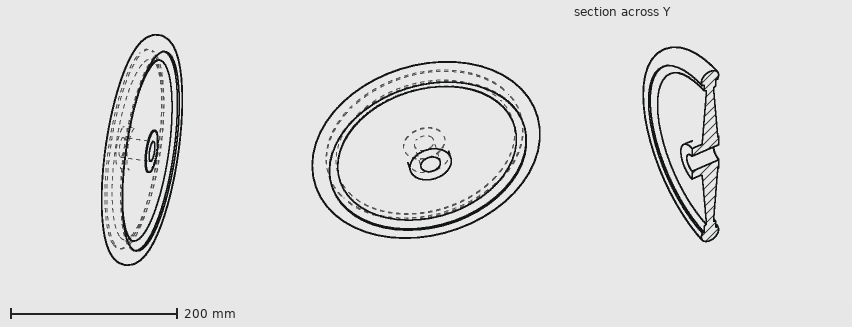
import cadquery as cq
import math

wheel_radius = 140.0
wheel_width = 38.0

rim_section_radius = 12.5
rim_centre_radius = wheel_radius - rim_section_radius
rim_centre_x = wheel_width - rim_section_radius

hub_radius = 51.0 / 2
bore_radius = 24.0 / 2
hub_root_fillet = 1.5

ring_outer_radius = 121.2
ring_inner_radius = 113.5
ring_x = 16.8
ring_edge_round = 3.4
web_outer_radius = ring_inner_radius - ring_edge_round
web_outer_x = ring_x + ring_edge_round
web_hub_x = 14.0

selection_margin = 0.3


def cylinder(radius):
    """Cylinder on the wheel axis, as long as the wheel is wide."""
    return cq.Workplane("YZ").circle(radius).extrude(wheel_width)


def make_rim():
    """Round torus whose inside is turned off straight, leaving a short wall above the ring."""
    profile = cq.Workplane("XY").center(rim_centre_x, rim_centre_radius).circle(rim_section_radius)
    torus = profile.revolve(360, (0, -rim_centre_radius, 0), (1, -rim_centre_radius, 0))
    return torus.cut(cylinder(ring_outer_radius))


def make_web():
    """Web with the same shape on both faces, mirrored about the rim's mid-plane."""
    diagonal = ring_edge_round * math.sqrt(0.5)
    round_middle = (web_outer_x - diagonal, ring_inner_radius - diagonal)
    half_profile = (
        cq.Workplane("XY")
        .moveTo(rim_centre_x, bore_radius)
        .lineTo(web_hub_x, bore_radius)
        .lineTo(web_hub_x, hub_radius)
        .lineTo(web_outer_x, web_outer_radius)
        .threePointArc(round_middle, (ring_x, ring_inner_radius))
        .lineTo(ring_x, ring_outer_radius)
        .lineTo(rim_centre_x, ring_outer_radius)
        .close()
    )
    half = half_profile.revolve(360, (0, 0, 0), (1, 0, 0))
    return half.union(half.mirror("YZ", (rim_centre_x, 0, 0)))


def hub_root_edges():
    """Selector for the edge where the hub meets the front of the web."""
    reach = hub_radius + selection_margin
    return cq.selectors.BoxSelector(
        (web_hub_x - selection_margin, -reach, -reach),
        (web_hub_x + selection_margin, reach, reach),
    )


wheel = make_rim().union(make_web()).union(cylinder(hub_radius))
wheel = wheel.edges(hub_root_edges()).fillet(hub_root_fillet)
result = wheel.cut(cylinder(bore_radius))